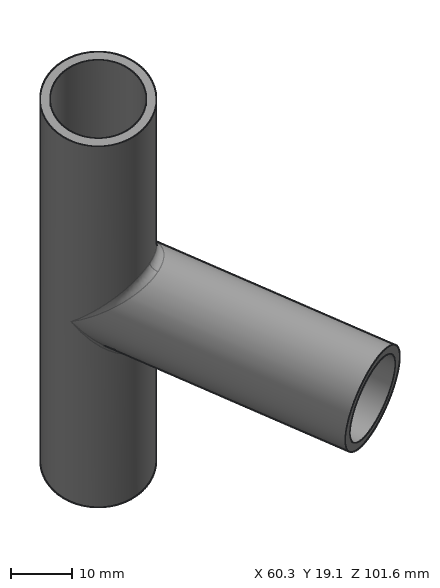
import cadquery as cq

outer_diameter = 19.05
wall = 1.65
run_length = 101.6
branch_length = run_length / 2
crotch_radius = 1.5

outer_radius = outer_diameter / 2
inner_radius = outer_radius - wall


def tee(radius):
    """Solid run centred on the origin, joined by a branch of the same radius."""
    run = cq.Workplane("XY").circle(radius).extrude(run_length / 2, both=True)
    branch = cq.Workplane("YZ").circle(radius).extrude(branch_length)
    return run.union(branch)


def blend_crotch(body):
    """Round the half ellipses where the branch meets the run."""
    return body.edges("%ELLIPSE").fillet(crotch_radius)


outside = blend_crotch(tee(outer_radius))
bore = tee(inner_radius)
result = outside.cut(bore)